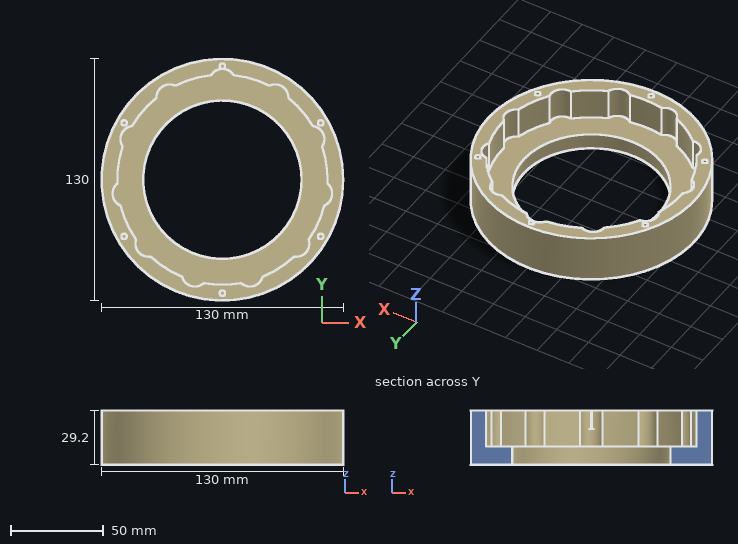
import cadquery as cq

outer_diameter = 130.0
height = 29.25
bore_diameter = 85.0

floor_thickness = 10.0
pocket_diameter = 113.0
lobe_count = 11
lobe_radius = 7.05
lobe_circle_radius = 52.5

screw_count = 6
screw_diameter = 3.0
screw_circle_radius = 61.0
screw_depth = 10.0

first_angle = 90.0
pocket_depth = height - floor_thickness


def on_top(circle_radius, count):
    """Points evenly spaced on a circle in the top plane, the first on +Y."""
    return (
        cq.Workplane("XY")
        .workplane(offset=height)
        .polarArray(circle_radius, first_angle, 360, count)
    )


def make_body():
    return cq.Workplane("XY").circle(outer_diameter / 2).circle(bore_diameter / 2).extrude(height)


def make_pocket():
    top_plane = cq.Workplane("XY").workplane(offset=height)
    round_pocket = top_plane.circle(pocket_diameter / 2).extrude(-pocket_depth)
    lobes = on_top(lobe_circle_radius, lobe_count).circle(lobe_radius).extrude(-pocket_depth)
    return round_pocket.union(lobes)


def make_screw_holes():
    return on_top(screw_circle_radius, screw_count).circle(screw_diameter / 2).extrude(-screw_depth)


result = make_body().cut(make_pocket()).cut(make_screw_holes())